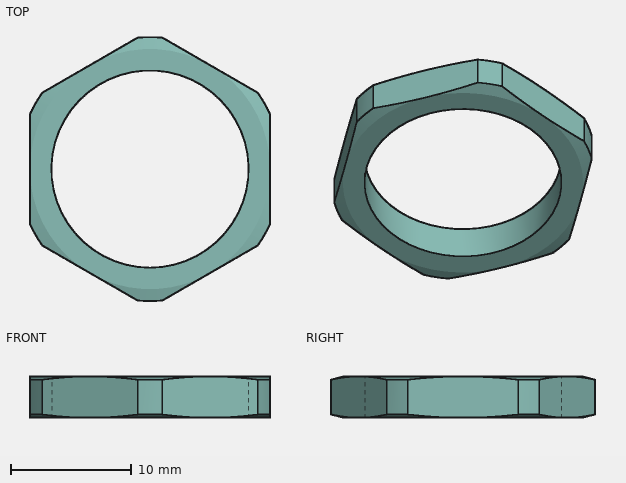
import cadquery as cq
import math

across_flats = 20.0
corner_diameter = 22.0
bore_diameter = 16.4
thickness = 3.43
chamfer_angle = 15.0

across_corners = across_flats / math.cos(math.radians(30.0))
face_radius = across_flats / 2.0
corner_radius = corner_diameter / 2.0
chamfer_height = (corner_radius - face_radius) * math.tan(math.radians(chamfer_angle))


def hexagonal_ring():
    """Bored hexagonal prism with two flats facing +X and -X."""
    return (
        cq.Workplane("XY")
        .transformed(rotate=(0, 0, 30.0))
        .polygon(6, across_corners)
        .circle(bore_diameter / 2.0)
        .extrude(thickness)
    )


def chamfered_envelope():
    """Turned disc that rounds the corners and bevels them at both ends."""
    return (
        cq.Workplane("XZ")
        .moveTo(0, 0)
        .lineTo(face_radius, 0)
        .lineTo(corner_radius, chamfer_height)
        .lineTo(corner_radius, thickness - chamfer_height)
        .lineTo(face_radius, thickness)
        .lineTo(0, thickness)
        .close()
        .revolve(360.0, (0, 0, 0), (0, 1, 0))
    )


result = hexagonal_ring().intersect(chamfered_envelope())